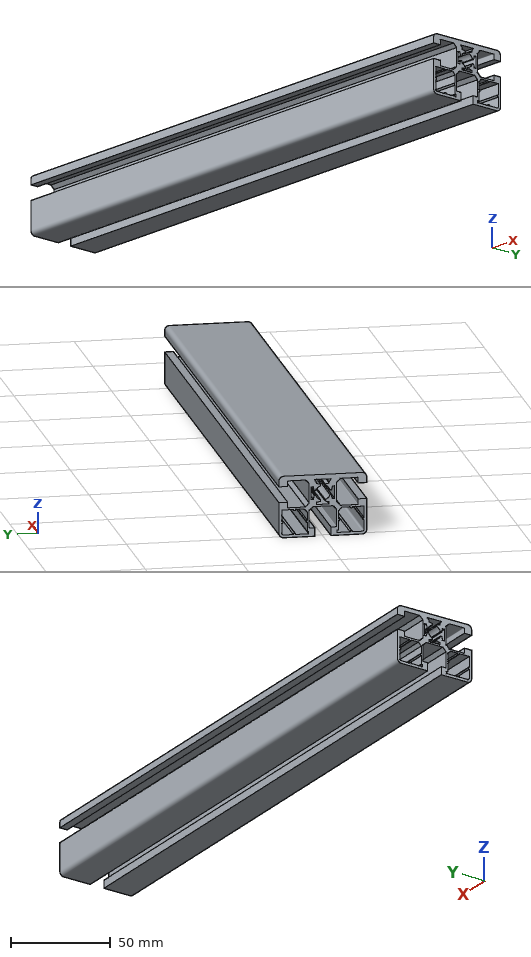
import cadquery as cq

length = 304.8
width = 45.0
height = 32.0
half_width = width / 2
bottom = -height / 2
core_z = bottom + half_width

corner_radius = 2.5
slot_opening = 8.2
lip_thickness = 4.5
web_thickness = 1.0
core_half = 7.0
slot_half_width = core_half
slot_floor_chamfer = 2.0
slot_foot_radius = 0.3

chamber_wall = 1.5
chamber_chamfer = 1.75
chamber_corner_radius = corner_radius - chamber_wall
notch_depth = 0.7
notch_height = 1.2
rib_radius = 0.6

cavity_half = core_half - web_thickness
screw_bore_radius = 3.8
pocket_half_width = 3.2
head_base = 4.9
tip_half_gap = 1.2
head_tip = 4.4
recess_foot = 5.5
recess_half_width = 4.2


def extrude_rectangle(y_min, y_max, z_min, z_max):
    """Full-length bar with the given Y and Z limits."""
    return cq.Workplane("XY").box(length, y_max - y_min, z_max - z_min).translate(
        (0, (y_min + y_max) / 2, (z_min + z_max) / 2)
    )


def extrude_outline(points):
    """Full-length bar with the given closed outline of (y, z) points."""
    return cq.Workplane("YZ").polyline(points).close().extrude(length / 2, both=True)


def make_blank():
    """Solid bar with rounded outside corners."""
    return cq.Workplane("XY").box(length, width, height).edges("|X").fillet(corner_radius)


def make_slot(angle):
    """T-slot around the core; angle 0 opens downward."""
    cavity = extrude_rectangle(
        -slot_half_width, slot_half_width, -half_width + lip_thickness, -core_half
    )
    cavity = cavity.edges("|X and >Z").chamfer(slot_floor_chamfer)
    cavity = cavity.edges("|X and <Z").fillet(slot_foot_radius)
    mouth = extrude_rectangle(
        -slot_opening / 2, slot_opening / 2, -half_width, -half_width + lip_thickness
    )
    slot = cavity.union(mouth)
    return slot.rotate((0, 0, 0), (1, 0, 0), angle).translate((0, 0, core_z))


def make_chamber(side):
    """Hollow beside the bottom slot, with a small half-round rib along the middle of each wall."""
    inner_y = core_half + web_thickness
    outer_y = half_width - chamber_wall
    floor_z = bottom + chamber_wall
    ceiling_z = core_z - core_half - web_thickness
    middle_y = (inner_y + outer_y) / 2
    middle_z = (floor_z + ceiling_z) / 2
    chamber = extrude_rectangle(inner_y, outer_y, floor_z, ceiling_z)
    chamber = chamber.edges("|X and <Y and >Z").chamfer(chamber_chamfer)
    chamber = chamber.edges("|X and >Y and <Z").fillet(chamber_corner_radius)
    notch = extrude_rectangle(inner_y - notch_depth, inner_y, floor_z, floor_z + notch_height)
    chamber = chamber.union(notch)
    rib_centres = [(middle_y, ceiling_z), (middle_y, floor_z), (inner_y, middle_z), (outer_y, middle_z)]
    for rib_y, rib_z in rib_centres:
        rib = cq.Workplane("YZ").center(rib_y, rib_z).circle(rib_radius).extrude(length / 2, both=True)
        chamber = chamber.cut(rib)
    if side < 0:
        chamber = chamber.mirror("XZ")
    return chamber


def make_core_cavity():
    """Screw bore with four pockets around it, which leaves four headed diagonal arms."""
    cavity = cq.Workplane("YZ").circle(screw_bore_radius).extrude(length / 2, both=True)
    right_side = [
        (tip_half_gap, 0),
        (tip_half_gap, head_tip),
        (pocket_half_width, head_base),
        (pocket_half_width, cavity_half),
    ]
    left_side = [(-y, z) for y, z in reversed(right_side)]
    pocket = extrude_outline(right_side + left_side)
    for angle in (0, 90, 180, 270):
        cavity = cavity.union(pocket.rotate((0, 0, 0), (1, 0, 0), angle))
    top_recess = extrude_outline(
        [
            (-pocket_half_width, recess_foot),
            (pocket_half_width, recess_foot),
            (recess_half_width, core_half),
            (-recess_half_width, core_half),
        ]
    )
    return cavity.union(top_recess).translate((0, 0, core_z))


result = make_blank()
for slot_angle in (0, 90, -90):
    result = result.cut(make_slot(slot_angle))
for chamber_side in (-1, 1):
    result = result.cut(make_chamber(chamber_side))
result = result.cut(make_core_cavity())